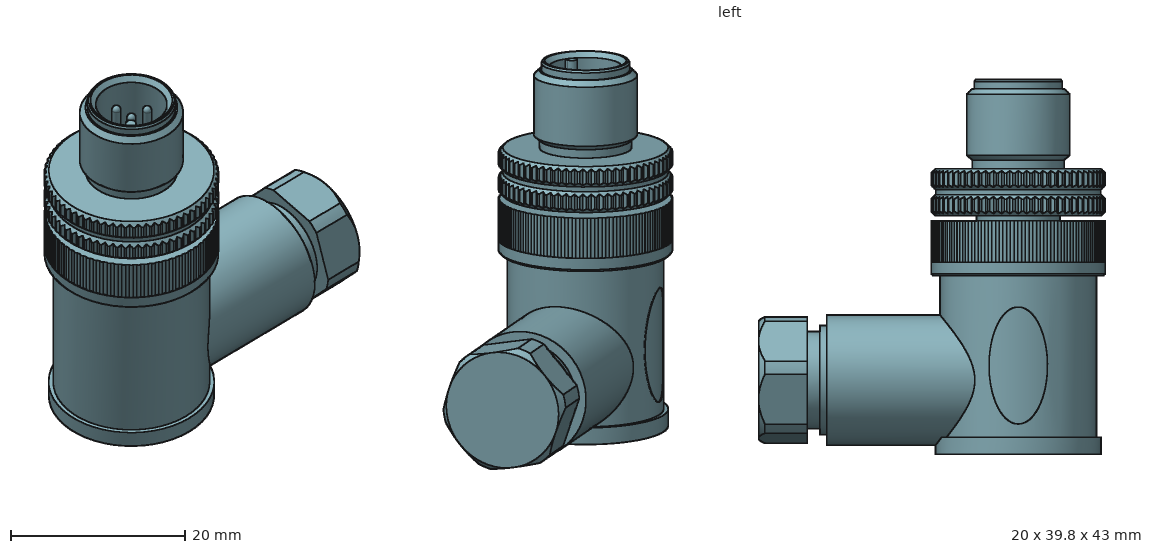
import cadquery as cq
import math


total_height = 43.0
flange_top = 1.98
ring_bottom = 20.45
ring_edge_chamfer = 0.25
knurl_bottom = 22.05
knurl_top = 26.8
nut_bottom = 27.35
nut_groove_bottom = 29.8
nut_groove_top = 30.35
nut_top = 32.75
sleeve_bottom = 33.75
sleeve_full_bottom = 34.3
sleeve_full_top = 41.3
sleeve_top = 41.92
lip_chamfer_height = 0.25

outer_radius = 20.0 / 2
flange_radius = 9.5
body_radius = 9.0
knurl_base_radius = 9.9
lower_neck_radius = 4.8
nut_chamfer = 0.5
upper_neck_radius = 5.3
sleeve_radius = 5.95
sleeve_top_radius = 5.3
lip_radius = 5.07
lip_chamfer_width = 0.17

nut_tooth_count = 64
nut_groove_depth = 0.25
nut_groove_width = 0.75
ring_rib_count = 72
ring_rib_width = 0.45
ring_rib_height = outer_radius - knurl_base_radius
ring_rib_start_angle = 1.0

socket_radius = 4.1
socket_mouth_radius = 4.7
socket_mouth_depth = 0.6
socket_depth = 8.6
root_depth = 0.45
pin_circle_radius = 2.5
pin_radius = 0.5
pin_top = 40.7
center_pin_top = 41.0
key_radius = 0.6
key_angle = -45.0
socket_root = total_height - socket_depth - root_depth
key_top = total_height - socket_mouth_depth

recess_depth = 0.15
recess_width = 6.7
recess_height = 2 * recess_width
recess_center_z = 10.2

total_length = 39.78
arm_axis_z = 8.5
arm_end = 21.97
arm_collar_end = 22.75
arm_neck_end = 24.15
gland_end = total_length - outer_radius
arm_radius = 7.5
arm_collar_radius = 6.28
arm_neck_radius = 5.6

gland_corner_radius = 7.45
gland_flat_distance = 6.8
gland_face_radius = 6.8
gland_chamfer_length = 0.75
gland_corner_angle = 48.8


def polar(radius, angle):
    """Point at a radius and an angle in degrees."""
    return (radius * math.cos(math.radians(angle)), radius * math.sin(math.radians(angle)))


def plug_body():
    """Turned body from the bottom flange to the lip of the plug."""
    nut_edge_radius = outer_radius - nut_chamfer
    profile = [
        (0, 0),
        (flange_radius, 0),
        (flange_radius, flange_top),
        (body_radius, flange_top),
        (body_radius, ring_bottom),
        (outer_radius - ring_edge_chamfer, ring_bottom),
        (outer_radius, ring_bottom + ring_edge_chamfer),
        (outer_radius, knurl_bottom),
        (knurl_base_radius, knurl_bottom),
        (knurl_base_radius, knurl_top),
        (lower_neck_radius, knurl_top),
        (lower_neck_radius, nut_bottom),
        (nut_edge_radius, nut_bottom),
        (outer_radius, nut_bottom + nut_chamfer),
        (outer_radius, nut_groove_bottom - nut_chamfer),
        (nut_edge_radius, nut_groove_bottom),
        (nut_edge_radius, nut_groove_top),
        (outer_radius, nut_groove_top + nut_chamfer),
        (outer_radius, nut_top - nut_chamfer),
        (nut_edge_radius, nut_top),
        (upper_neck_radius, nut_top),
        (upper_neck_radius, sleeve_bottom),
        (sleeve_radius, sleeve_full_bottom),
        (sleeve_radius, sleeve_full_top),
        (sleeve_top_radius, sleeve_top),
        (lip_radius, sleeve_top),
        (lip_radius, total_height - lip_chamfer_height),
        (lip_radius - lip_chamfer_width, total_height),
        (0, total_height),
    ]
    return cq.Workplane("XZ").polyline(profile).close().revolve(360, (0, 0, 0), (0, 1, 0))


def nut_grooves():
    """Ring around the coupling nut whose inner outline has a V tooth for every groove."""
    pitch = 360 / nut_tooth_count
    half_groove = math.degrees(nut_groove_width / 2 / outer_radius)
    clearance = 0.45
    outline = []
    for i in range(nut_tooth_count):
        angle = i * pitch
        outline.append(polar(outer_radius, angle - half_groove))
        outline.append(polar(outer_radius - nut_groove_depth, angle))
        outline.append(polar(outer_radius, angle + half_groove))
    height = nut_top - nut_bottom
    plane = cq.Workplane("XY").workplane(offset=nut_bottom)
    core = plane.moveTo(*outline[0])
    for i in range(nut_tooth_count):
        start = 3 * i
        ridge_middle = polar(outer_radius, (i + 0.5) * pitch)
        core = core.lineTo(*outline[start + 1]).lineTo(*outline[start + 2])
        core = core.threePointArc(ridge_middle, outline[(start + 3) % len(outline)])
    core = core.close().extrude(height)
    return plane.circle(outer_radius + clearance).extrude(height).cut(core)


def ring_ribs():
    """Disc with low rounded ribs, standing on the lower band of the knurled ring."""
    pitch = 360 / ring_rib_count
    half_rib = math.degrees(ring_rib_width / 2 / knurl_base_radius)
    first = ring_rib_start_angle - half_rib
    disc = cq.Workplane("XY").workplane(offset=knurl_bottom).moveTo(*polar(knurl_base_radius, first))
    for i in range(ring_rib_count):
        angle = ring_rib_start_angle + i * pitch
        crest = polar(knurl_base_radius + ring_rib_height, angle)
        disc = disc.threePointArc(crest, polar(knurl_base_radius, angle + half_rib))
        gap_middle = polar(knurl_base_radius, angle + pitch / 2)
        disc = disc.threePointArc(gap_middle, polar(knurl_base_radius, angle + pitch - half_rib))
    return disc.close().extrude(knurl_top - knurl_bottom)


def socket():
    """Bore of the plug with a flared mouth."""
    profile = [
        (0, total_height - socket_depth),
        (socket_radius, total_height - socket_depth),
        (socket_radius, total_height - socket_mouth_depth),
        (socket_mouth_radius, total_height),
        (0, total_height),
    ]
    return cq.Workplane("XZ").polyline(profile).close().revolve(360, (0, 0, 0), (0, 1, 0))


def pin(x, y, top):
    """Ball-ended contact pin rooted below the socket floor."""
    shaft_length = top - pin_radius - socket_root
    shaft = cq.Workplane("XY", origin=(x, y, socket_root)).circle(pin_radius).extrude(shaft_length)
    return shaft.union(cq.Workplane("XY", origin=(x, y, top - pin_radius)).sphere(pin_radius))


def pins():
    """Centre pin and four slightly shorter pins around it."""
    group = pin(0, 0, center_pin_top)
    for angle in (0, 90, 180, 270):
        x, y = polar(pin_circle_radius, angle)
        group = group.union(pin(x, y, pin_top))
    return group


def key():
    """Round-nosed coding key on the socket wall."""
    nose = math.sqrt(2) * pin_circle_radius
    reach = (socket_radius + lip_radius) / 2
    height = key_top - socket_root
    plane = cq.Workplane("XY").workplane(offset=socket_root)
    bar = plane.center((nose + reach) / 2, 0).rect(reach - nose, 2 * key_radius).extrude(height)
    tip = cq.Workplane("XY", origin=(nose, 0, socket_root)).circle(key_radius).extrude(height)
    return bar.union(tip).rotate((0, 0, 0), (0, 0, 1), key_angle)


def oval_recess():
    """Oval prism hollowed by the recess floor, a cylinder about the plug axis."""
    prism = (
        cq.Workplane("YZ")
        .center(0, recess_center_z)
        .ellipse(recess_width / 2, recess_height / 2)
        .extrude(-outer_radius)
    )
    floor = cq.Workplane("XY").circle(body_radius - recess_depth).extrude(ring_bottom)
    return prism.cut(floor)


def cable_arm():
    """Stepped round arm from the plug axis to the gland nut."""
    plane = cq.Workplane("XZ", origin=(0, 0, arm_axis_z))
    arm = plane.circle(arm_radius).extrude(-arm_end)
    arm = arm.union(plane.circle(arm_collar_radius).extrude(-arm_collar_end))
    return arm.union(plane.circle(arm_neck_radius).extrude(-arm_neck_end))


def gland_nut():
    """Hexagon trimmed by a turned blank with a chamfered end."""
    hex_diameter = 2 * gland_flat_distance / math.cos(math.pi / 6)
    length = gland_end - arm_neck_end
    hexagon = (
        cq.Workplane("XZ", origin=(0, arm_neck_end, arm_axis_z))
        .transformed(rotate=(0, 0, gland_corner_angle))
        .polygon(6, hex_diameter)
        .extrude(-length)
    )
    profile = [
        (0, arm_neck_end),
        (gland_corner_radius, arm_neck_end),
        (gland_corner_radius, gland_end - gland_chamfer_length),
        (gland_face_radius, gland_end),
        (0, gland_end),
    ]
    blank = (
        cq.Workplane("XY", origin=(0, 0, arm_axis_z))
        .polyline(profile)
        .close()
        .revolve(360, (0, 0, 0), (0, 1, 0))
    )
    return hexagon.intersect(blank)


plug = plug_body().cut(nut_grooves()).union(ring_ribs())
plug = plug.cut(socket()).union(key()).union(pins())
housing = plug.union(cable_arm()).cut(oval_recess())
result = housing.union(gland_nut())